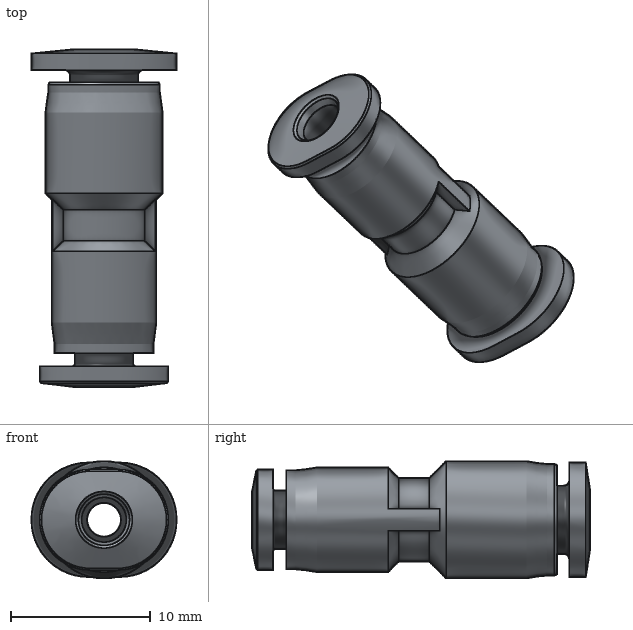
import cadquery as cq
import math

LENGTH = 24.17

LARGE_BARREL_R = 4.2
LARGE_MOUTH_R = 4.0
LARGE_MOUTH_CHAMFER_R = 3.9
SMALL_BARREL_R = 3.75
SMALL_MOUTH_R = 3.55
NECK_R = 3.0

LARGE_MOUTH = 2.35
LARGE_MOUTH_CHAMFER_END = 2.55
LARGE_TAPER_START = 3.08
LARGE_TAPER_END = 4.54
LARGE_SHOULDER = 10.29
NECK_START = LARGE_SHOULDER + LARGE_BARREL_R - NECK_R
SMALL_SHOULDER = 14.44
NECK_END = SMALL_SHOULDER - (SMALL_BARREL_R - NECK_R)
SMALL_TAPER_START = 19.53
SMALL_TAPER_END = 21.06
SMALL_MOUTH = 21.73

WEB_THICKNESS = 1.55
WEB_START = 10.7

LARGE_COLLAR_R = 2.45
LARGE_COLLAR_FILLET = 0.35
LARGE_FLANGE_R = 4.1
LARGE_FLANGE_SHIFT = 1.1
LARGE_FLANGE_RIM = 0.3
LARGE_FLANGE_BACK = 1.5

SMALL_COLLAR_R = 2.1
SMALL_COLLAR_FILLET = 0.15
SMALL_FLANGE_R = 3.6
SMALL_FLANGE_SHIFT = 1.0
SMALL_FLANGE_BACK = 22.65
SMALL_FLANGE_RIM = 23.88
SMALL_RIM_CHAMFER = 0.13

THROUGH_BORE_R = 1.2
LARGE_SOCKET_R = 2.0
LARGE_SOCKET_EDGE_R = 2.2
LARGE_SOCKET_LEAD = 0.5
SMALL_SOCKET_R = 1.6
SMALL_SOCKET_LEAD_R = 1.83
SMALL_SOCKET_EDGE_R = 2.03
SMALL_SOCKET_CHAMFER = 0.15
SMALL_SOCKET_LEAD = 0.5


def y_at(station):
    """Y coordinate of a station, with the part centred on the origin."""
    return LENGTH / 2 - station


def turned(outline):
    """Solid of revolution about Y from (radius, station) pairs, closed along the axis."""
    on_axis_start = (0, y_at(outline[0][1]))
    on_axis_end = (0, y_at(outline[-1][1]))
    points = [(radius, y_at(station)) for radius, station in outline]
    profile = cq.Workplane("XY").polyline([on_axis_start] + points + [on_axis_end]).close()
    return profile.revolve(360, (0, 0, 0), (0, 1, 0))


def cross_plane(station):
    """Workplane across the axis, with local x = X, local y = Z and normal -Y."""
    return cq.Workplane("XZ", origin=(0, y_at(station), 0))


def oblong(station, radius, shift):
    """Oblong section: two arcs of one radius, shifted apart along X."""
    return (
        cross_plane(station)
        .moveTo(-shift, radius)
        .lineTo(shift, radius)
        .threePointArc((shift + radius, 0), (shift, -radius))
        .lineTo(-shift, -radius)
        .threePointArc((-shift - radius, 0), (-shift, radius))
        .close()
    )


def split_circle(station, radius, split_angle):
    """Circle of four arcs, split at split_angle on either side of the Z axis."""
    x = radius * math.sin(split_angle)
    z = radius * math.cos(split_angle)
    return (
        cross_plane(station)
        .moveTo(-x, z)
        .threePointArc((0, radius), (x, z))
        .threePointArc((radius, 0), (x, -z))
        .threePointArc((0, -radius), (-x, -z))
        .threePointArc((-radius, 0), (-x, z))
        .close()
    )


def dome(rim, face, radius, shift, edge_radius):
    """Shallow ruled face rising from the oblong rim to the round edge of the socket."""
    base = oblong(rim, radius, shift).wire().val()
    edge = split_circle(face, edge_radius, math.atan2(shift, radius)).wire().val()
    return cq.Workplane(cq.Solid.makeLoft([base, edge], True))


def make_body():
    return turned([
        (LARGE_MOUTH_CHAMFER_R, LARGE_MOUTH),
        (LARGE_MOUTH_R, LARGE_MOUTH_CHAMFER_END),
        (LARGE_MOUTH_R, LARGE_TAPER_START),
        (LARGE_BARREL_R, LARGE_TAPER_END),
        (LARGE_BARREL_R, LARGE_SHOULDER),
        (NECK_R, NECK_START),
        (NECK_R, NECK_END),
        (SMALL_BARREL_R, SMALL_SHOULDER),
        (SMALL_BARREL_R, SMALL_TAPER_START),
        (SMALL_MOUTH_R, SMALL_TAPER_END),
        (SMALL_MOUTH_R, SMALL_MOUTH),
    ])


def make_web():
    web_length = SMALL_SHOULDER - WEB_START
    cylinder = cross_plane(WEB_START).circle(SMALL_BARREL_R).extrude(web_length)
    slab = cross_plane(WEB_START).rect(2 * SMALL_BARREL_R, WEB_THICKNESS).extrude(web_length)
    return cylinder.intersect(slab)


def make_collar(radius, fillet, mouth, flange_back):
    """Collar from the barrel mouth to the flange, flaring into it with a concave fillet."""
    toward_mouth = math.copysign(1, y_at(mouth) - y_at(flange_back))
    y_back = y_at(flange_back)
    y_tangent = y_back + toward_mouth * fillet
    bulge = fillet * (1 - math.sqrt(0.5))
    profile = (
        cq.Workplane("XY")
        .moveTo(0, y_at(mouth))
        .lineTo(radius, y_at(mouth))
        .lineTo(radius, y_tangent)
        .threePointArc((radius + bulge, y_back + toward_mouth * bulge), (radius + fillet, y_back))
        .lineTo(0, y_back)
        .close()
    )
    return profile.revolve(360, (0, 0, 0), (0, 1, 0))


def make_large_sleeve():
    collar = make_collar(LARGE_COLLAR_R, LARGE_COLLAR_FILLET, LARGE_MOUTH, LARGE_FLANGE_BACK)
    flange = oblong(LARGE_FLANGE_RIM, LARGE_FLANGE_R, LARGE_FLANGE_SHIFT).extrude(
        LARGE_FLANGE_BACK - LARGE_FLANGE_RIM
    )
    face = dome(LARGE_FLANGE_RIM, 0, LARGE_FLANGE_R, LARGE_FLANGE_SHIFT, LARGE_SOCKET_EDGE_R)
    return collar.union(flange).union(face)


def make_small_sleeve():
    collar = make_collar(SMALL_COLLAR_R, SMALL_COLLAR_FILLET, SMALL_MOUTH, SMALL_FLANGE_BACK)
    flange = oblong(SMALL_FLANGE_BACK, SMALL_FLANGE_R, SMALL_FLANGE_SHIFT).extrude(
        SMALL_FLANGE_RIM - SMALL_FLANGE_BACK
    )
    flange = flange.faces("<Y").edges().chamfer(SMALL_RIM_CHAMFER)
    face_r = SMALL_FLANGE_R - SMALL_RIM_CHAMFER
    face = dome(SMALL_FLANGE_RIM, LENGTH, face_r, SMALL_FLANGE_SHIFT, SMALL_SOCKET_EDGE_R)
    return collar.union(flange).union(face)


def make_bore():
    """Stepped bore: a socket from each end to its barrel shoulder, joined by a smaller hole."""
    small_chamfer_end = LENGTH - SMALL_SOCKET_CHAMFER
    return turned([
        (LARGE_SOCKET_EDGE_R, 0),
        (LARGE_SOCKET_R, LARGE_SOCKET_LEAD),
        (LARGE_SOCKET_R, LARGE_SHOULDER),
        (THROUGH_BORE_R, LARGE_SHOULDER),
        (THROUGH_BORE_R, SMALL_SHOULDER),
        (SMALL_SOCKET_R, SMALL_SHOULDER),
        (SMALL_SOCKET_R, small_chamfer_end - SMALL_SOCKET_LEAD),
        (SMALL_SOCKET_LEAD_R, small_chamfer_end),
        (SMALL_SOCKET_EDGE_R, LENGTH),
    ])


solid_fitting = make_body().union(make_web()).union(make_large_sleeve()).union(make_small_sleeve())
result = solid_fitting.cut(make_bore())